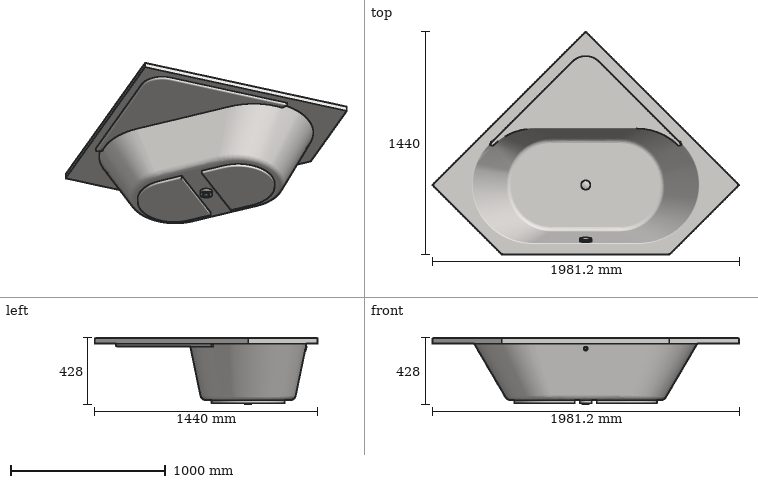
import cadquery as cq
import math


rim_width = 1981.17
rim_depth = 1440
rim_thickness = 37
rim_edge_radius = 7
rim_corner_y = rim_width / 2
rim_front_y = rim_corner_y - rim_depth
rim_front_half_width = rim_width / 2 + rim_front_y

wall = 10
floor_z = -392
outer_floor_z = floor_z - wall
top_half_length = 731
top_half_width = 375
top_half_straight = 345
floor_half_length = 501
floor_half_width = 294
floor_half_straight = 221
floor_radius = 30
lip_radius = 7

end_slope = (top_half_length - floor_half_length) / -floor_z
side_slope = (top_half_width - floor_half_width) / -floor_z
straight_slope = (top_half_straight - floor_half_straight) / -floor_z

shelf_z = -45
shelf_corner_radius = 122
shelf_wall = 22
shelf_floor_radius = 5
shelf_edge_radius = 4
shelf_outer_radius = 10

shelf_wall_box = cq.selectors.BoxSelector(
    (-rim_width, top_half_width, shelf_z - wall), (rim_width, rim_corner_y, 0)
)

shelf_front_reach = top_half_straight + 200
shelf_front_y = 290
selection_margin = 1
basin_edge_of_shelf = cq.selectors.BoxSelector(
    (-shelf_front_reach, shelf_front_y, shelf_z - selection_margin),
    (shelf_front_reach, top_half_width, shelf_z + selection_margin),
)

board_thickness = 20
board_end_radius = 237
board_half_straight = 225
board_edge_radius = 6
board_length = 2 * (board_half_straight + board_end_radius)
board_gap = 140

total_height = 427.95
plug_diameter = 60
plug_dome_height = 6
drain_diameter = 79
drain_flange_height = 20
drain_outlet_diameter = 42

overflow_z = -66
overflow_flange_diameter = 80
overflow_flange_thickness = 8
overflow_knob_diameter = 75
overflow_knob_thickness = 8
overflow_pipe_diameter = 25
overflow_pipe_bore = 20
overflow_pipe_length = 14
overflow_y = -(top_half_width + side_slope * overflow_z)
overflow_plane = cq.Plane(
    origin=(0, overflow_y, overflow_z), xDir=(1, 0, 0), normal=(0, 1, side_slope)
)


def basin_wire(z, offset):
    """Basin outline at height z, moved outward square to the walls by offset."""
    half_length = top_half_length + end_slope * z + offset * math.hypot(1, end_slope)
    half_width = top_half_width + side_slope * z + offset * math.hypot(1, side_slope)
    half_straight = top_half_straight + straight_slope * z
    end_reach = half_length - half_straight

    def side_line(sign):
        start = cq.Vector(-sign * half_straight, -sign * half_width, z)
        end = cq.Vector(sign * half_straight, -sign * half_width, z)
        return cq.Edge.makeLine(start, end)

    def end_curve(sign):
        centre = cq.Vector(sign * half_straight, 0, z)
        along = cq.Vector(sign, 0, 0)
        across = cq.Vector(0, sign, 0)
        up = cq.Vector(0, 0, 1)
        if end_reach >= half_width:
            return cq.Edge.makeEllipse(end_reach, half_width, centre, up, along, 270, 90)
        return cq.Edge.makeEllipse(half_width, end_reach, centre, up, across, 180, 0)

    return cq.Wire.assembleEdges([side_line(1), end_curve(1), side_line(-1), end_curve(-1)])


def basin_body(bottom_z, top_z, offset):
    """Solid basin with a rounded bottom edge."""
    loft = cq.Solid.makeLoft([basin_wire(bottom_z, offset), basin_wire(top_z, offset)], True)
    return cq.Workplane(obj=loft).faces("<Z").edges().fillet(floor_radius + offset)


def shelf_body(bottom_z, top_z, offset):
    """Solid kite from the Z axis to the corner, its back walls moved out by offset."""
    end_reach = top_half_length - top_half_straight
    ellipse_reach = math.hypot(end_reach, top_half_width)
    tangent_x = top_half_straight + end_reach**2 / ellipse_reach
    tangent_y = top_half_width**2 / ellipse_reach
    front_y = tangent_y - offset
    corner_y = tangent_x + tangent_y + offset * math.sqrt(2)
    half_front = corner_y - front_y
    outline = [(0, 0), (half_front, front_y), (0, corner_y), (-half_front, front_y)]
    wedge = cq.Workplane("XY", origin=(0, 0, bottom_z)).polyline(outline).close().extrude(top_z - bottom_z)
    return wedge.edges("|Z and >Y").fillet(shelf_corner_radius + offset)


def rim():
    half = rim_width / 2
    outline = [
        (0, rim_corner_y),
        (-half, 0),
        (-rim_front_half_width, rim_front_y),
        (rim_front_half_width, rim_front_y),
        (half, 0),
    ]
    plate = cq.Workplane("XY").polyline(outline).close().extrude(-rim_thickness)
    return plate.faces(">Z").edges().fillet(rim_edge_radius)


def base_boards():
    boards = (
        cq.Workplane("XY", origin=(0, 0, outer_floor_z))
        .slot2D(board_length, 2 * board_end_radius)
        .extrude(-board_thickness)
    )
    gap = (
        cq.Workplane("XY", origin=(0, 0, outer_floor_z))
        .rect(board_gap, 2 * board_end_radius)
        .extrude(-board_thickness)
    )
    return boards.cut(gap).faces("<Z").edges().fillet(board_edge_radius)


def tub():
    """Rim, basin and shelf as one shell, with the base boards and the fitting holes."""
    basin = basin_body(floor_z, 0, 0)
    shelf = shelf_body(shelf_z, 0, 0).faces("<Z").edges(shelf_wall_box).fillet(shelf_floor_radius)
    outer_basin = basin_body(outer_floor_z, -rim_thickness, wall)
    outer_shelf = shelf_body(shelf_z - wall, -rim_thickness, shelf_wall)
    outer_shelf = outer_shelf.faces("<Z").edges(shelf_wall_box).fillet(shelf_outer_radius)
    hollow = basin.union(shelf)
    shell = rim().union(outer_basin).union(outer_shelf).cut(hollow)
    opening = shell.faces(">Z").val().innerWires()[0]
    shell = shell.newObject(opening.Edges()).fillet(lip_radius)
    shell = shell.edges(basin_edge_of_shelf).fillet(shelf_edge_radius)
    plug_hole = cq.Workplane("XY", origin=(0, 0, floor_z)).circle(plug_diameter / 2).extrude(-wall)
    pipe_hole = cq.Workplane(overflow_plane).circle(overflow_pipe_diameter / 2).extrude(-2 * wall)
    return shell.union(base_boards()).cut(plug_hole).cut(pipe_hole)


def plug():
    """Domed disc filling the hole in the floor."""
    radius = plug_diameter / 2
    profile = (
        cq.Workplane("XZ")
        .moveTo(0, outer_floor_z)
        .lineTo(radius, outer_floor_z)
        .lineTo(radius, floor_z)
    )
    dome_radius = (radius**2 + plug_dome_height**2) / (2 * plug_dome_height)
    return (
        profile.radiusArc((0, floor_z + plug_dome_height), -dome_radius)
        .close()
        .revolve(360, (0, 0, 0), (0, 1, 0))
    )


def drain():
    """Flange against the underside of the floor, with a short outlet."""
    flange = cq.Workplane("XY", origin=(0, 0, outer_floor_z)).circle(drain_diameter / 2)
    outlet = cq.Workplane("XY", origin=(0, 0, outer_floor_z)).circle(drain_outlet_diameter / 2)
    outlet_height = total_height + outer_floor_z
    return flange.extrude(-drain_flange_height).union(outlet.extrude(-outlet_height))


def overflow():
    face = cq.Workplane(overflow_plane)
    flange = face.circle(overflow_flange_diameter / 2).extrude(overflow_flange_thickness)
    knob = flange.faces(">Y").workplane().circle(overflow_knob_diameter / 2).extrude(overflow_knob_thickness)
    pipe = face.circle(overflow_pipe_diameter / 2).extrude(-overflow_pipe_length)
    bore = face.circle(overflow_pipe_bore / 2).extrude(-overflow_pipe_length)
    return knob.union(pipe).cut(bore)


result = cq.Compound.makeCompound(
    [tub().val(), plug().val(), drain().val(), overflow().val()]
)